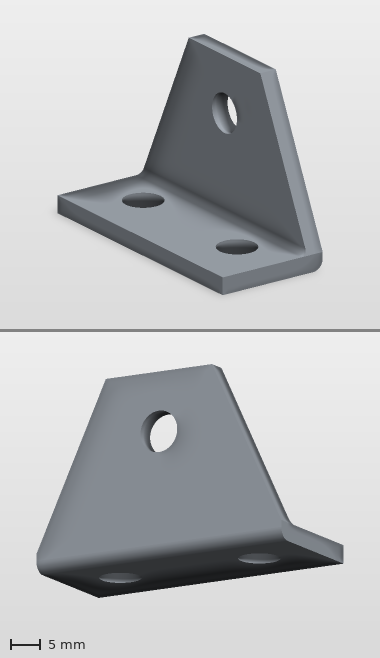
import cadquery as cq

length = 47.6
depth = 20.6
height = 31.75
thickness = 3.2

top_width = 20.6
inner_radius = 1.15
outer_radius = 2.0

hole_diameter = 7.15
hole_edge_distance = 10.35
base_hole_spacing = 27.0


def angle_profile():
    """L-shaped section extruded along X, with its back face at Y = depth."""
    section = (
        cq.Workplane("YZ")
        .polyline([
            (0, 0),
            (depth, 0),
            (depth, height),
            (depth - thickness, height),
            (depth - thickness, thickness),
            (0, thickness),
        ])
        .close()
        .extrude(length / 2, both=True)
    )
    inner_corner = cq.selectors.NearestToPointSelector((0, depth - thickness, thickness))
    outer_corner = cq.selectors.NearestToPointSelector((0, depth, 0))
    section = section.edges(inner_corner).fillet(inner_radius)
    return section.edges(outer_corner).fillet(outer_radius)


def tapered_outline():
    """Front silhouette: full length at the base, narrowing towards the top."""
    return (
        cq.Workplane("XZ")
        .polyline([
            (-length / 2, 0),
            (length / 2, 0),
            (length / 2, thickness),
            (top_width / 2, height),
            (-top_width / 2, height),
            (-length / 2, thickness),
        ])
        .close()
        .extrude(-depth)
    )


def upright_hole():
    return (
        cq.Workplane("XZ")
        .center(0, height - hole_edge_distance)
        .circle(hole_diameter / 2)
        .extrude(-depth)
    )


def base_holes():
    half_spacing = base_hole_spacing / 2
    return (
        cq.Workplane("XY")
        .pushPoints([(side * half_spacing, hole_edge_distance) for side in (-1, 1)])
        .circle(hole_diameter / 2)
        .extrude(thickness)
    )


result = angle_profile().intersect(tapered_outline()).cut(upright_hole()).cut(base_holes())